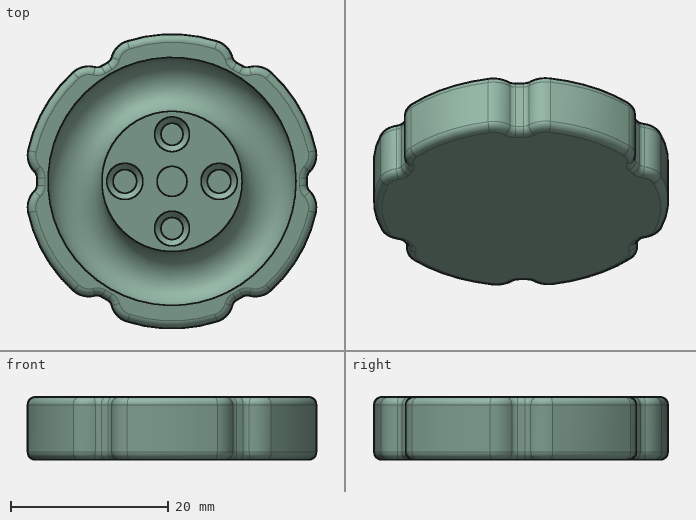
import cadquery as cq
import math

outer_radius = 18.7
height = 8.0
edge_fillet = 1.0

notch_count = 6
notch_floor_distance = 17.15
notch_floor_half_width = 0.5
notch_root_radius = 1.0
notch_shoulder_radius = 3.0

trough_section_radius = 3.6
trough_outer_radius = 15.75
hub_radius = 8.9

hole_depth = 6.0
center_hole_diameter = 3.8
hole_offset = 6.0
x_hole_diameter = 3.0
y_hole_diameter = 2.8
x_countersink_diameter = 4.6
y_countersink_diameter = 4.4
countersink_angle = 90.0


def polar(radius, angle):
    """Point at a distance from the axis, with the angle in radians from +X."""
    return radius * math.cos(angle), radius * math.sin(angle)


def turned(point, angle):
    """Point rotated about the axis."""
    x, y = point
    return (
        x * math.cos(angle) - y * math.sin(angle),
        x * math.sin(angle) + y * math.cos(angle),
    )


def toward(start, end, distance):
    """Point at a distance from start along the line to end."""
    fraction = distance / math.dist(start, end)
    return (
        start[0] + fraction * (end[0] - start[0]),
        start[1] + fraction * (end[1] - start[1]),
    )


def notch_half_points():
    """Points on the +Y half of the notch that faces +X, from its floor to the rim.

    The root arc is tangent to the flat floor, and the shoulder arc is tangent
    to both the root arc and the outer circle.
    """
    root_center = (notch_floor_distance + notch_root_radius, notch_floor_half_width)
    root_distance = math.hypot(*root_center)
    shoulder_distance = outer_radius - notch_shoulder_radius
    center_gap = notch_root_radius + notch_shoulder_radius
    cosine = (root_distance**2 + shoulder_distance**2 - center_gap**2) / (
        2 * root_distance * shoulder_distance
    )
    shoulder_angle = math.atan2(root_center[1], root_center[0]) + math.acos(cosine)
    shoulder_center = polar(shoulder_distance, shoulder_angle)

    floor_end = (notch_floor_distance, notch_floor_half_width)
    root_end = toward(root_center, shoulder_center, notch_root_radius)
    rim_start = polar(outer_radius, shoulder_angle)
    root_chord_middle = ((floor_end[0] + root_end[0]) / 2, (floor_end[1] + root_end[1]) / 2)
    shoulder_chord_middle = ((root_end[0] + rim_start[0]) / 2, (root_end[1] + rim_start[1]) / 2)
    root_middle = toward(root_center, root_chord_middle, notch_root_radius)
    shoulder_middle = toward(shoulder_center, shoulder_chord_middle, notch_shoulder_radius)
    return floor_end, root_middle, root_end, shoulder_middle, rim_start


def make_body():
    """Notched disc with rounded top and bottom edges."""
    upper_half = notch_half_points()
    lower_half = [(x, -y) for x, y in reversed(upper_half)]
    pitch = 2 * math.pi / notch_count

    outline = cq.Workplane("XY").moveTo(*lower_half[0])
    for index in range(notch_count):
        angle = index * pitch
        _, shoulder_in, root_in, root_in_middle, floor_start = [turned(p, angle) for p in lower_half]
        floor_end, root_out_middle, root_out, shoulder_out, rim_start = [
            turned(p, angle) for p in upper_half
        ]
        outline = (
            outline.threePointArc(shoulder_in, root_in)
            .threePointArc(root_in_middle, floor_start)
            .lineTo(*floor_end)
            .threePointArc(root_out_middle, root_out)
            .threePointArc(shoulder_out, rim_start)
            .threePointArc(polar(outer_radius, angle + pitch / 2), turned(lower_half[0], angle + pitch))
        )
    return outline.close().extrude(height).faces("<Z or >Z").edges().fillet(edge_fillet)


def make_trough():
    """Ring to remove between the hub and the rim."""
    half_opening = (trough_outer_radius - hub_radius) / 2
    section_center = (trough_outer_radius + hub_radius) / 2
    center_depth = math.sqrt(trough_section_radius**2 - half_opening**2)
    trough_depth = center_depth + trough_section_radius
    return (
        cq.Workplane("XZ")
        .moveTo(hub_radius, height)
        .threePointArc((section_center, height - trough_depth), (trough_outer_radius, height))
        .close()
        .revolve(360, (0, 0, 0), (0, 1, 0))
    )


def drill_hub(body):
    """Plain center hole with a countersunk pair along X and another along Y."""
    top = cq.Workplane("XY", origin=(0, 0, height))
    body = body.cut(top.circle(center_hole_diameter / 2).extrude(-hole_depth))
    pairs = [
        ((hole_offset, 0), x_hole_diameter, x_countersink_diameter),
        ((0, hole_offset), y_hole_diameter, y_countersink_diameter),
    ]
    for (x, y), diameter, countersink_diameter in pairs:
        body = (
            body.copyWorkplane(top)
            .pushPoints([(x, y), (-x, -y)])
            .cskHole(diameter, countersink_diameter, countersink_angle, depth=hole_depth)
        )
    return body


result = drill_hub(make_body().cut(make_trough()))